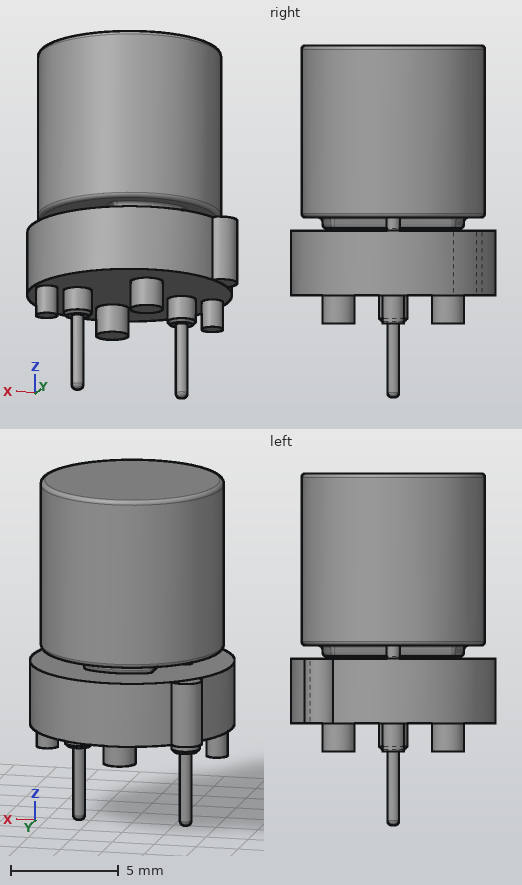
import cadquery as cq
import math


TOTAL_HEIGHT = 16.33
PIN_LENGTH = 4.74
LEAD_PITCH = 5.08

BASE_DIAMETER = 9.5
BASE_HEIGHT = 3.0

FOOT_HEIGHT = 1.3
SIDE_FOOT_DIAMETER = 1.0
SIDE_FOOT_SPACING = 8.08
MIDDLE_FOOT_DIAMETER = 1.5
MIDDLE_FOOT_SPACING = LEAD_PITCH

SLEEVE_DIAMETER = 1.32
SLEEVE_HEIGHT = 1.21
SLEEVE_CHAMFER = 0.15
PIN_DIAMETER = 0.55
PIN_TIP_FILLET = 0.25

LUG_DIAMETER = 1.5
LUG_ANGLE = 135.0

CAN_DIAMETER = 8.5
FUSE_GAP = 0.6
EDGE_FILLET = 0.2
BOSS_WIDTH = 3.31
BOSS_LENGTH = 6.56
BOSS_HEIGHT = 0.5
LEAD_DIAMETER = 0.6

CAN_BOTTOM = BASE_HEIGHT + FUSE_GAP
CAN_HEIGHT = TOTAL_HEIGHT - PIN_LENGTH - CAN_BOTTOM
BOSS_BOTTOM = CAN_BOTTOM - BOSS_HEIGHT
LEAD_POINTS = [(-LEAD_PITCH / 2, 0), (LEAD_PITCH / 2, 0)]
SIDE_FOOT_POINTS = [(-SIDE_FOOT_SPACING / 2, 0), (SIDE_FOOT_SPACING / 2, 0)]
MIDDLE_FOOT_POINTS = [(0, -MIDDLE_FOOT_SPACING / 2), (0, MIDDLE_FOOT_SPACING / 2)]


def cylinder(diameter, bottom, height, center=(0, 0)):
    """Upright cylinder standing on the height `bottom`."""
    return cq.Workplane("XY", origin=(*center, bottom)).circle(diameter / 2).extrude(height)


def make_contact(center):
    """Chamfered sleeve with a round-tipped pin, hanging below the base."""
    sleeve = cylinder(SLEEVE_DIAMETER, -SLEEVE_HEIGHT, SLEEVE_HEIGHT, center)
    sleeve = sleeve.faces("<Z").chamfer(SLEEVE_CHAMFER)
    pin = cylinder(PIN_DIAMETER, -PIN_LENGTH, PIN_LENGTH, center)
    pin = pin.faces("<Z").edges().fillet(PIN_TIP_FILLET)
    return sleeve.union(pin)


def make_holder():
    """Round base with four feet and two contacts."""
    holder = cylinder(BASE_DIAMETER, 0, BASE_HEIGHT)
    for point in SIDE_FOOT_POINTS:
        holder = holder.union(cylinder(SIDE_FOOT_DIAMETER, -FOOT_HEIGHT, FOOT_HEIGHT, point))
    for point in MIDDLE_FOOT_POINTS:
        holder = holder.union(cylinder(MIDDLE_FOOT_DIAMETER, -FOOT_HEIGHT, FOOT_HEIGHT, point))
    for point in LEAD_POINTS:
        holder = holder.union(make_contact(point))
    return holder


def make_lug():
    """Round lug centred on the rim, with the base cut out so that it sits against the side wall."""
    angle = math.radians(LUG_ANGLE)
    rim_radius = BASE_DIAMETER / 2
    center = (rim_radius * math.cos(angle), rim_radius * math.sin(angle))
    lug = cylinder(LUG_DIAMETER, 0, BASE_HEIGHT, center)
    return lug.cut(cylinder(BASE_DIAMETER, 0, BASE_HEIGHT))


def make_boss():
    """Flat-sided boss with round ends and a rounded lower edge, against the underside of the can."""
    round_ends = cylinder(BOSS_LENGTH, BOSS_BOTTOM, BOSS_HEIGHT)
    flat_sides = cq.Workplane("XY", origin=(0, 0, BOSS_BOTTOM)).rect(BOSS_WIDTH, BOSS_LENGTH)
    boss = round_ends.intersect(flat_sides.extrude(BOSS_HEIGHT))
    boss = boss.edges("|Z").fillet(EDGE_FILLET)
    return boss.faces("<Z").edges().fillet(EDGE_FILLET)


def make_fuse():
    """Cylindrical can with a filleted boss below it and two leads resting on the base."""
    can = cylinder(CAN_DIAMETER, CAN_BOTTOM, CAN_HEIGHT)
    can = can.faces("<Z or >Z").edges().fillet(EDGE_FILLET)
    fuse = can.union(make_boss())
    seam = cq.selectors.BoxSelector(
        (-BOSS_WIDTH, -BOSS_LENGTH / 2 - EDGE_FILLET, CAN_BOTTOM - EDGE_FILLET / 2),
        (BOSS_WIDTH, BOSS_LENGTH / 2 + EDGE_FILLET, CAN_BOTTOM + EDGE_FILLET / 2),
        boundingbox=True,
    )
    fuse = fuse.edges(seam).fillet(EDGE_FILLET)
    for point in LEAD_POINTS:
        fuse = fuse.union(cylinder(LEAD_DIAMETER, BASE_HEIGHT, FUSE_GAP, point))
    return fuse


holder = make_holder()
lug = make_lug()
fuse = make_fuse()

result = cq.Compound.makeCompound([holder.val(), lug.val(), fuse.val()])